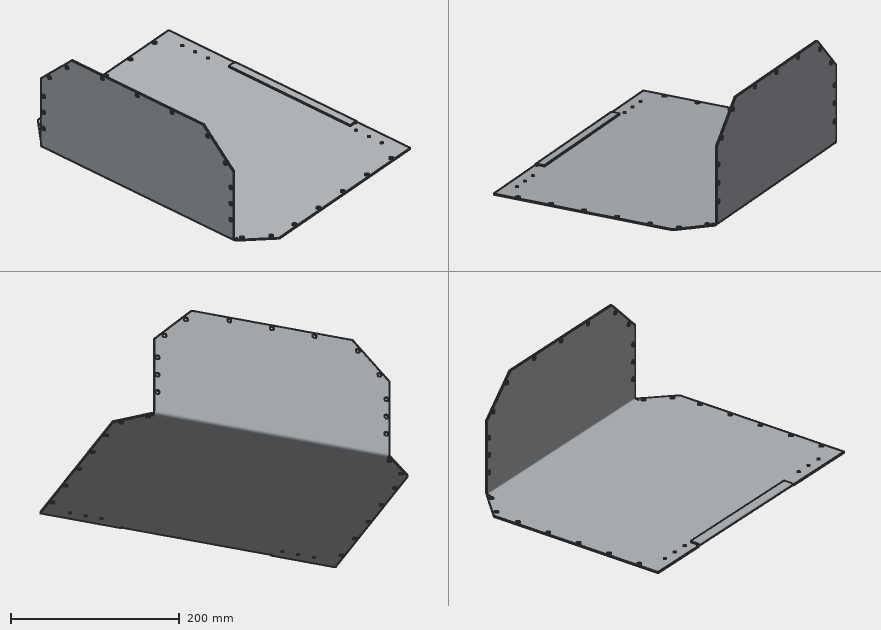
import cadquery as cq
import math

SHEET = 1.9
WALL_BEND_RADIUS = 2.0
HEM_GAP = 0.1

BASE_WIDTH = 374.14
DEPTH = 279.81
BASE_CHAMFER = 39.2

WALL_WIDTH = 298.0
WALL_HEIGHT = 147.75
WALL_CHAMFER = 47.0

RELIEF_WIDTH = 1.0
WALL_RELIEF_OVERRUN = 2.5
HEM_RELIEF_OVERRUN = 1.0

HEM_LEFT = -83.5
HEM_RIGHT = 104.5
HEM_LENGTH = 12.4

EDGE_HOLE = 5.2
EDGE_MARGIN = 3.9
BASE_HOLE_REAR_OFFSET = 30.4
BASE_HOLE_PITCH = 44.45
BASE_HOLE_COUNT = 5
WALL_TOP_HOLE_PITCH = 54.0
WALL_SIDE_HOLE_BASE = 29.6
WALL_SIDE_HOLE_PITCH = 23.4
WALL_SIDE_HOLE_COUNT = 3

BASE_CHAMFER_HOLES = [(177.4, 35.9), (152.9, 11.0)]
WALL_CHAMFER_HOLES = [(109.0, 134.7), (136.3, 107.7)]

SMALL_HOLE = 3.2
SMALL_HOLE_REAR_OFFSET = 13.7
SMALL_ROW_CENTRE = 134.6
SMALL_HOLE_PITCH = 20.0

wall_bend_outer = SHEET + WALL_BEND_RADIUS
hem_bend_inner = HEM_GAP / 2
hem_bend_outer = SHEET + hem_bend_inner
half_base = BASE_WIDTH / 2
half_wall = WALL_WIDTH / 2
hem_bend_y = DEPTH - hem_bend_outer
hem_width = HEM_RIGHT - HEM_LEFT


def mirrored(points):
    """Points together with their mirror images across the middle of the part."""
    return points + [(-across, along) for across, along in points]


def make_base():
    """Flat plate whose 45-degree front corners run to the front plane beside the wall."""
    front_corner = half_base - BASE_CHAMFER
    outline = [
        (-half_base, DEPTH),
        (-half_base, BASE_CHAMFER),
        (-front_corner, 0),
        (front_corner, 0),
        (half_base, BASE_CHAMFER),
        (half_base, DEPTH),
    ]
    return cq.Workplane("XY").polyline(outline).close().extrude(SHEET)


def make_wall():
    """Upright plate with chamfered top corners, starting above its bend."""
    shoulder = WALL_HEIGHT - WALL_CHAMFER
    outline = [
        (-half_wall, wall_bend_outer),
        (-half_wall, shoulder),
        (-half_wall + WALL_CHAMFER, WALL_HEIGHT),
        (half_wall - WALL_CHAMFER, WALL_HEIGHT),
        (half_wall, shoulder),
        (half_wall, wall_bend_outer),
    ]
    return cq.Workplane("XZ").polyline(outline).close().extrude(-SHEET)


def make_wall_bend():
    """Quarter-round bend joining the base to the wall."""
    outer_mid = wall_bend_outer * (1 - math.sqrt(0.5))
    inner_mid = wall_bend_outer - WALL_BEND_RADIUS * math.sqrt(0.5)
    return (
        cq.Workplane("YZ", origin=(-half_wall, 0, 0))
        .moveTo(wall_bend_outer, 0)
        .threePointArc((outer_mid, outer_mid), (0, wall_bend_outer))
        .lineTo(SHEET, wall_bend_outer)
        .threePointArc((inner_mid, inner_mid), (wall_bend_outer, SHEET))
        .close()
        .extrude(WALL_WIDTH)
    )


def make_hem():
    """Half-round fold and the flap that lies just above the base."""
    flap_end = DEPTH - HEM_LENGTH
    flap_bottom = SHEET + HEM_GAP
    flap_top = flap_bottom + SHEET
    return (
        cq.Workplane("YZ", origin=(HEM_LEFT, 0, 0))
        .moveTo(hem_bend_y, 0)
        .threePointArc((DEPTH, hem_bend_outer), (hem_bend_y, flap_top))
        .lineTo(flap_end, flap_top)
        .lineTo(flap_end, flap_bottom)
        .lineTo(hem_bend_y, flap_bottom)
        .threePointArc((hem_bend_y + hem_bend_inner, hem_bend_outer), (hem_bend_y, SHEET))
        .close()
        .extrude(hem_width)
    )


def base_cutter(x_min, x_max, y_min, y_max):
    """Rectangular block through the base plate."""
    block = cq.Workplane("XY").box(x_max - x_min, y_max - y_min, SHEET, centered=False)
    return block.translate((x_min, y_min, 0))


def cut_reliefs(base):
    """Trim the base back to both bends and slot it at the ends of both bends."""
    hem_slot_start = hem_bend_y - HEM_RELIEF_OVERRUN
    wall_slot_end = wall_bend_outer + WALL_RELIEF_OVERRUN
    base = base.cut(base_cutter(HEM_LEFT, HEM_RIGHT, hem_bend_y, DEPTH))
    base = base.cut(base_cutter(-half_wall, half_wall, 0, wall_bend_outer))
    for x_min in (HEM_LEFT - RELIEF_WIDTH, HEM_RIGHT):
        base = base.cut(base_cutter(x_min, x_min + RELIEF_WIDTH, hem_slot_start, DEPTH))
    for x_min in (-half_wall - RELIEF_WIDTH, half_wall):
        base = base.cut(base_cutter(x_min, x_min + RELIEF_WIDTH, 0, wall_slot_end))
    return base


def drill_base(base):
    """Edge holes along the sides and front corners, plus the small rear rows."""
    edge_x = half_base - EDGE_MARGIN
    last_y = DEPTH - BASE_HOLE_REAR_OFFSET
    side_holes = [(edge_x, last_y - i * BASE_HOLE_PITCH) for i in range(BASE_HOLE_COUNT)]
    small_y = DEPTH - SMALL_HOLE_REAR_OFFSET
    small_holes = [(SMALL_ROW_CENTRE + i * SMALL_HOLE_PITCH, small_y) for i in (-1, 0, 1)]
    edge_drills = (
        cq.Workplane("XY")
        .pushPoints(mirrored(side_holes + BASE_CHAMFER_HOLES))
        .circle(EDGE_HOLE / 2)
        .extrude(SHEET)
    )
    small_drills = (
        cq.Workplane("XY").pushPoints(mirrored(small_holes)).circle(SMALL_HOLE / 2).extrude(SHEET)
    )
    return base.cut(edge_drills).cut(small_drills)


def drill_wall(wall):
    """Edge holes along the sides, chamfers and top of the wall."""
    edge_x = half_wall - EDGE_MARGIN
    top_z = WALL_HEIGHT - EDGE_MARGIN
    side_holes = [
        (edge_x, WALL_SIDE_HOLE_BASE + i * WALL_SIDE_HOLE_PITCH) for i in range(WALL_SIDE_HOLE_COUNT)
    ]
    paired_holes = side_holes + WALL_CHAMFER_HOLES + [(WALL_TOP_HOLE_PITCH, top_z)]
    drills = (
        cq.Workplane("XZ")
        .pushPoints(mirrored(paired_holes) + [(0, top_z)])
        .circle(EDGE_HOLE / 2)
        .extrude(-SHEET)
    )
    return wall.cut(drills)


base = drill_base(cut_reliefs(make_base()))
wall = drill_wall(make_wall())
result = base.union(make_wall_bend()).union(wall).union(make_hem())